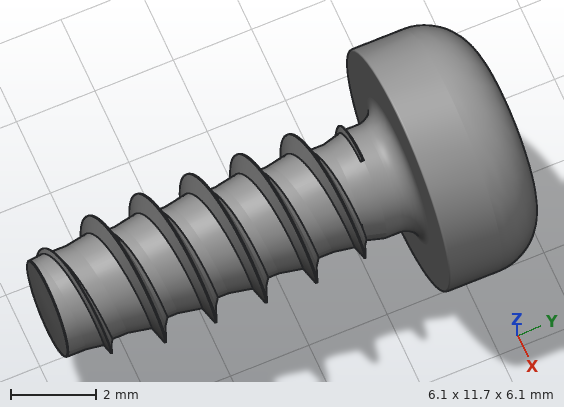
import cadquery as cq
import math

total_length = 11.69
head_radius = 3.05
head_height = 2.7
dome_radius = 1.36
rim_round = 0.05
neck_radius = 1.36
neck_fillet = 0.49
neck_end_y = 8.11
neck_cone_length = 0.53
root_radius = 1.22
tip_cone_height = 0.04
tip_chamfer = 0.02
bearing_y = total_length - head_height

pitch = 1.29
crest_radius = 1.74
start_radius = 1.44
end_radius = 1.32
thread_zero_y = 8.39
thread_start_y = 8.09
last_turn = 6.3
start_fade_turns = 1.15
end_fade_turns = 1.3
points_per_turn = 24
patch_steps = 12
base_radius = 1.11

heel_offset = -0.27
flank_break = (-0.14, 0.18)
crest_half_width = 0.018
toe = (0.181, 0.1)
ramp_length = 0.82
burial = 0.01


def make_core():
    """Head, neck and plain shank, revolved about the Y axis."""
    side = math.sqrt(0.5)
    dome_x = head_radius - dome_radius
    dome_y = total_length - dome_radius
    fillet_x = neck_radius + neck_fillet
    fillet_y = bearing_y - neck_fillet
    round_x = head_radius - rim_round
    round_y = bearing_y + rim_round
    return (
        cq.Workplane("XY")
        .lineTo(root_radius - tip_chamfer, tip_cone_height)
        .lineTo(root_radius, tip_cone_height + tip_chamfer)
        .lineTo(root_radius, neck_end_y - neck_cone_length)
        .lineTo(neck_radius, neck_end_y)
        .lineTo(neck_radius, fillet_y)
        .threePointArc((fillet_x - neck_fillet * side, fillet_y + neck_fillet * side), (fillet_x, bearing_y))
        .lineTo(round_x, bearing_y)
        .threePointArc((round_x + rim_round * side, round_y - rim_round * side), (head_radius, round_y))
        .lineTo(head_radius, dome_y)
        .threePointArc((dome_x + dome_radius * side, dome_y + dome_radius * side), (dome_x, total_length))
        .lineTo(0, total_length)
        .close()
        .revolve(360, (0, 0), (0, 1))
    )


def ridge_section(t):
    """Corners of the ridge section at turn t, shrinking where the thread fades."""
    fade_in = start_radius + (crest_radius - start_radius) * t / start_fade_turns
    fade_out = end_radius + (crest_radius - end_radius) * (last_turn - t) / end_fade_turns
    crest_height = min(crest_radius, fade_in, fade_out) - root_radius
    size = crest_height / (crest_radius - root_radius)
    ramp_end = ramp_length * math.sqrt(size)
    corners = [
        (heel_offset * size, base_radius - root_radius),
        (heel_offset * size, -burial),
        (flank_break[0] * size, flank_break[1] * size),
        (-crest_half_width * size, crest_height),
        (crest_half_width * size, crest_height),
        (toe[0] * size, toe[1] * size),
        (ramp_end, -burial),
        (ramp_end, base_radius - root_radius),
    ]
    centre_y = min(thread_start_y, thread_zero_y - pitch * t)
    angle = 2 * math.pi * t
    return [
        cq.Vector(
            -(root_radius + height) * math.sin(angle),
            centre_y - offset,
            (root_radius + height) * math.cos(angle),
        )
        for offset, height in corners
    ]


def make_thread():
    """Closed skin of ruled patches between the helical corner curves."""
    steps = round(last_turn * points_per_turn)
    sections = [ridge_section(last_turn * i / steps) for i in range(steps + 1)]
    faces = []
    for start in range(0, steps, patch_steps):
        patch = sections[start:start + patch_steps + 1]
        curves = [cq.Edge.makeSpline(list(points)) for points in zip(*patch)]
        for first, second in zip(curves, curves[1:] + curves[:1]):
            faces.append(cq.Face.makeRuledSurface(first, second))
    for section in (sections[0], sections[-1]):
        faces.append(cq.Face.makeFromWires(cq.Wire.makePolygon(section, close=True)))
    thread = cq.Solid.makeSolid(cq.Shell.makeShell(faces))
    limit_y = tip_cone_height + tip_chamfer
    limit = cq.Solid.makeCylinder(head_radius, bearing_y, cq.Vector(0, limit_y, 0), cq.Vector(0, 1, 0))
    return cq.Workplane(obj=thread.fix().intersect(limit))


result = make_core().union(make_thread())